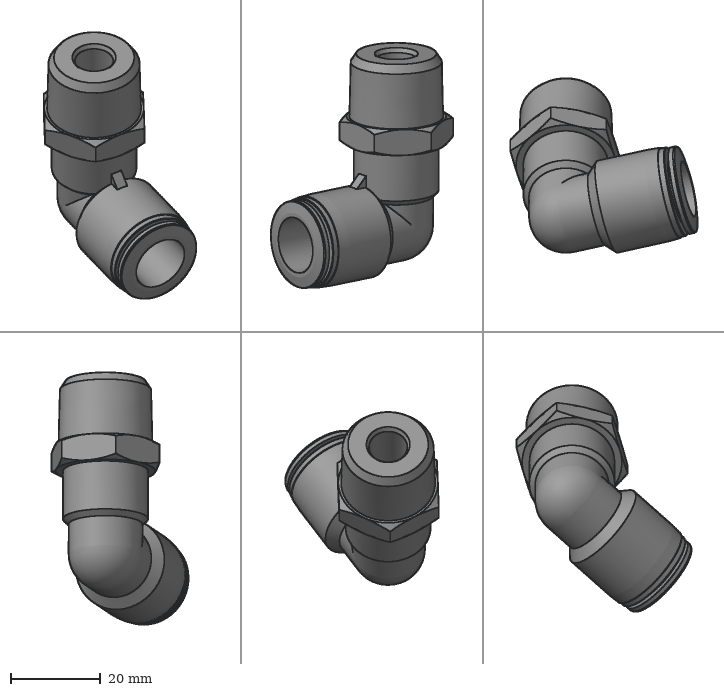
import cadquery as cq
import math


stem_top = 39.5
thread_lead_height = 1.9
thread_tip_diameter = 17.9
thread_small_diameter = 20.4
thread_large_diameter = 21.0

hex_width = 22.2
hex_top = 25.0
hex_height = 6.0
hex_bevel_angle = 30.0

barrel_diameter = 19.0
barrel_bottom = 8.0

elbow_diameter = 16.5

socket_diameter = 21.0
socket_cone_start = 7.3
socket_cone_end = 9.6
socket_taper_start = 21.2
socket_taper_end = 24.1
socket_taper_diameter = 20.7
socket_rim_diameter = 20.25
socket_rim_chamfer = 0.15
socket_end = 25.55

neck_diameter = 14.6
collar_diameter = 19.8
collar_start = 26.4
collar_edge = 27.8
collar_end = 28.3
collar_face_diameter = 14.6
collar_edge_start = 27.45
collar_edge_chamfer = 0.15
neck_flare_start = 26.0
neck_flare = 0.2

rib_width = 2.6
rib_top = 13.05

bore_diameter = 8.55
bore_mouth_diameter = 9.7
bore_mouth_depth = 1.0
tube_diameter = 12.6
tube_seat = 10.0


def revolve_along(axis, stations):
    """Solid of revolution about Z or X from (position, diameter) stations."""
    first, last = stations[0][0], stations[-1][0]
    outline = [(0, first)] + [(d / 2, p) for p, d in stations] + [(0, last)]
    solid = cq.Workplane("XZ").polyline(outline).close().revolve(360, (0, 0), (0, 1))
    if axis == "X":
        solid = solid.rotate((0, 0, 0), (0, 1, 0), 90)
    return solid


def make_hexagon():
    hex_bottom = hex_top - hex_height
    corner_width = hex_width / math.cos(math.radians(30))
    bevel_drop = (corner_width - hex_width) / 2 * math.tan(math.radians(hex_bevel_angle))
    prism = (
        cq.Workplane("XY", origin=(0, 0, hex_bottom))
        .polygon(6, corner_width)
        .extrude(hex_height)
        .rotate((0, 0, 0), (0, 0, 1), 30)
    )
    bevel_envelope = revolve_along("Z", [
        (hex_bottom, hex_width),
        (hex_bottom + bevel_drop, corner_width),
        (hex_top - bevel_drop, corner_width),
        (hex_top, hex_width),
    ])
    return prism.intersect(bevel_envelope)


def make_stem():
    barrel_cone_height = (barrel_diameter - elbow_diameter) / 2
    return revolve_along("Z", [
        (0, elbow_diameter),
        (barrel_bottom - barrel_cone_height, elbow_diameter),
        (barrel_bottom, barrel_diameter),
        (hex_top, barrel_diameter),
        (hex_top, thread_large_diameter),
        (stem_top - thread_lead_height, thread_small_diameter),
        (stem_top, thread_tip_diameter),
    ])


def make_socket():
    return revolve_along("X", [
        (0, elbow_diameter),
        (socket_cone_start, elbow_diameter),
        (socket_cone_end, socket_diameter),
        (socket_taper_start, socket_diameter),
        (socket_taper_end, socket_taper_diameter),
        (socket_taper_end, socket_rim_diameter),
        (socket_end - socket_rim_chamfer, socket_rim_diameter),
        (socket_end, socket_rim_diameter - 2 * socket_rim_chamfer),
        (socket_end, neck_diameter),
        (neck_flare_start, neck_diameter),
        (collar_start, neck_diameter + 2 * neck_flare),
        (collar_start, collar_diameter),
        (collar_edge_start, collar_diameter),
        (collar_edge, collar_diameter - 2 * collar_edge_chamfer),
        (collar_end, collar_face_diameter),
    ])


def make_rib():
    """45 degree web, its inner edge buried in the barrel and socket."""
    inner = barrel_diameter / 2 - 0.5
    base = socket_diameter / 2 - 0.5
    outer = barrel_diameter / 2 + rib_top - base
    return (
        cq.Workplane("XZ")
        .polyline([
            (inner, base),
            (outer, base),
            (barrel_diameter / 2, rib_top),
            (inner, rib_top),
        ])
        .close()
        .extrude(rib_width / 2, both=True)
    )


def make_passages():
    bend = cq.Workplane("XY").sphere(bore_diameter / 2)
    inlet = revolve_along("Z", [
        (0, bore_diameter),
        (stem_top - bore_mouth_depth, bore_diameter),
        (stem_top, bore_mouth_diameter),
    ])
    outlet = revolve_along("X", [
        (0, bore_diameter),
        (tube_seat, bore_diameter),
        (tube_seat, tube_diameter),
        (collar_end, tube_diameter),
    ])
    return bend.union(inlet).union(outlet)


elbow_bend = cq.Workplane("XY").sphere(elbow_diameter / 2)
body = (
    elbow_bend
    .union(make_stem())
    .union(make_socket())
    .union(make_hexagon())
    .union(make_rib())
)
result = body.cut(make_passages())